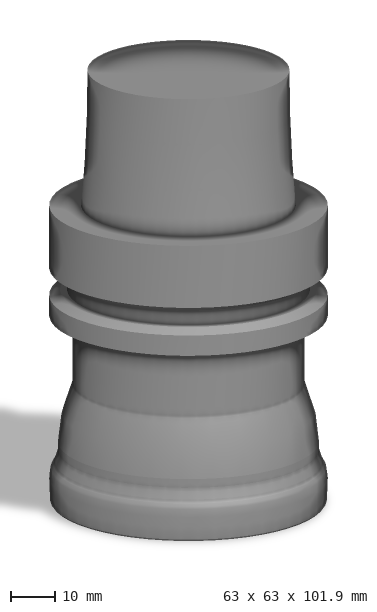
import cadquery as cq

rim_radius = 31.5

foot_bottom_z = 0.4
foot_middle_z = 4.7
foot_top_z = 7.3
shoulder_top_z = 8.8
cone_bottom_z = 9.6
cone_top_z = 11.4
waist_z = 12.1
bulge_z = 14.2
bulge_top_z = 27.5
neck_z = 28.2
flange_bottom_z = 43.9
flange_top_z = 69.9
top_z = 101.9

base_radius = 31.0
foot_edge_radius = 31.3
shoulder_radius = 30.7
cone_bottom_radius = 30.3
cone_top_radius = 29.7
waist_diameter = 59.0
waist_radius = waist_diameter / 2
bulge_top_radius = 26.4
neck_diameter = 52.5
neck_radius = neck_diameter / 2

groove_diameter = 54.9
groove_radius = groove_diameter / 2
groove_bottom_z = 50.0
groove_width = 3.9
groove_chamfer_depth = 2.4
groove_chamfer_height = 1.3

shank_base_radius = 24.3
shank_top_radius = 22.8

UPWARD = (0, 1)
SHOULDER_SLOPE = (-1, 1)


def revolve_profile(profile):
    """Spin a closed XZ half profile around the Z axis."""
    return profile.revolve(360, (0, 0, 0), (0, 1, 0))


def make_tool_head():
    """Lower body: foot, waist, bulge and neck."""
    foot_side = [
        (rim_radius, foot_middle_z),
        (foot_edge_radius, foot_top_z),
        (shoulder_radius, shoulder_top_z),
    ]
    profile = (
        cq.Workplane("XZ")
        .lineTo(base_radius, 0)
        .lineTo(foot_edge_radius, foot_bottom_z)
        .spline(foot_side, tangents=[UPWARD, SHOULDER_SLOPE], includeCurrent=True)
        .tangentArcPoint((cone_bottom_radius, cone_bottom_z), relative=False)
        .lineTo(cone_top_radius, cone_top_z)
        .tangentArcPoint((waist_radius, waist_z), relative=False)
        .lineTo(waist_radius, bulge_z)
        .tangentArcPoint((bulge_top_radius, bulge_top_z), relative=False)
        .tangentArcPoint((neck_radius, neck_z), relative=False)
        .lineTo(neck_radius, flange_bottom_z)
        .lineTo(0, flange_bottom_z)
        .close()
    )
    return revolve_profile(profile)


def make_flange():
    """Disc with a chamfered gripper groove around its rim."""
    groove_top_z = groove_bottom_z + groove_width
    lip_radius = rim_radius - groove_chamfer_depth
    profile = (
        cq.Workplane("XZ")
        .moveTo(0, flange_bottom_z)
        .lineTo(rim_radius, flange_bottom_z)
        .lineTo(rim_radius, groove_bottom_z - groove_chamfer_height)
        .lineTo(lip_radius, groove_bottom_z)
        .lineTo(groove_radius, groove_bottom_z)
        .lineTo(groove_radius, groove_top_z)
        .lineTo(lip_radius, groove_top_z)
        .lineTo(rim_radius, groove_top_z + groove_chamfer_height)
        .lineTo(rim_radius, flange_top_z)
        .lineTo(0, flange_top_z)
        .close()
    )
    return revolve_profile(profile)


def make_shank():
    """Shank that is upright at its top and flares in an arc to its base."""
    flare = shank_base_radius - shank_top_radius
    middle = (shank_top_radius + flare / 4, (flange_top_z + top_z) / 2)
    profile = (
        cq.Workplane("XZ")
        .moveTo(0, flange_top_z)
        .lineTo(shank_base_radius, flange_top_z)
        .threePointArc(middle, (shank_top_radius, top_z))
        .lineTo(0, top_z)
        .close()
    )
    return revolve_profile(profile)


def make_holder():
    """Upper body: flange and shank in one piece."""
    return make_flange().union(make_shank()).solids()


tool_head = make_tool_head()
holder = make_holder()

result = cq.Compound.makeCompound([tool_head.val(), holder.val()])